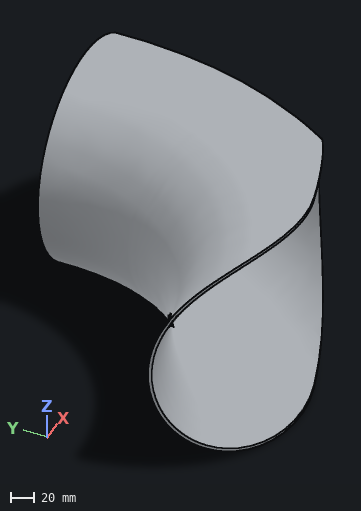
import cadquery as cq

outer_reach = 403.0
outer_diameter = 206.0
wall = 3.0
quarter_turn = 90

lip_start_x = 177.5

outer_radius = outer_diameter / 2
inner_radius = outer_radius - wall
bend_radius = outer_reach - outer_radius
inner_reach = bend_radius - outer_radius


def quarter_bend(radius):
    """Solid round bar bent through a quarter turn around the Z axis."""
    return (
        cq.Workplane("XZ")
        .center(bend_radius, 0)
        .circle(radius)
        .revolve(quarter_turn, (-bend_radius, 0, 0), (-bend_radius, -1, 0))
    )


def mitre_y(x):
    """Mitre parabola, where the bend meets a straight pipe of the same size along X.

    Each point is as far from the bend's centre line as from the straight pipe's axis at
    y = -bend_radius.
    """
    return -bend_radius + x**2 / (4 * bend_radius)


def mitre_control_point(x_from, x_to):
    """Middle control point that makes a quadratic Bezier curve follow the mitre parabola."""
    x_middle = (x_from + x_to) / 2
    y_middle = -bend_radius + x_from * x_to / (4 * bend_radius)
    return (x_middle, y_middle)


def kept_region():
    """Prism along Z whose curved sides trim the far end of the bend."""
    mitre_start_x = outer_reach + outer_radius
    return (
        cq.Workplane("XY")
        .lineTo(mitre_start_x, 0)
        .lineTo(mitre_start_x, mitre_y(mitre_start_x))
        .bezier(
            [
                mitre_control_point(mitre_start_x, lip_start_x),
                (lip_start_x, mitre_y(lip_start_x)),
            ],
            includeCurrent=True,
        )
        .tangentArcPoint((0, -inner_reach), relative=False)
        .close()
        .extrude(outer_diameter, both=True)
    )


pipe = quarter_bend(outer_radius).cut(quarter_bend(inner_radius))
result = pipe.intersect(kept_region())